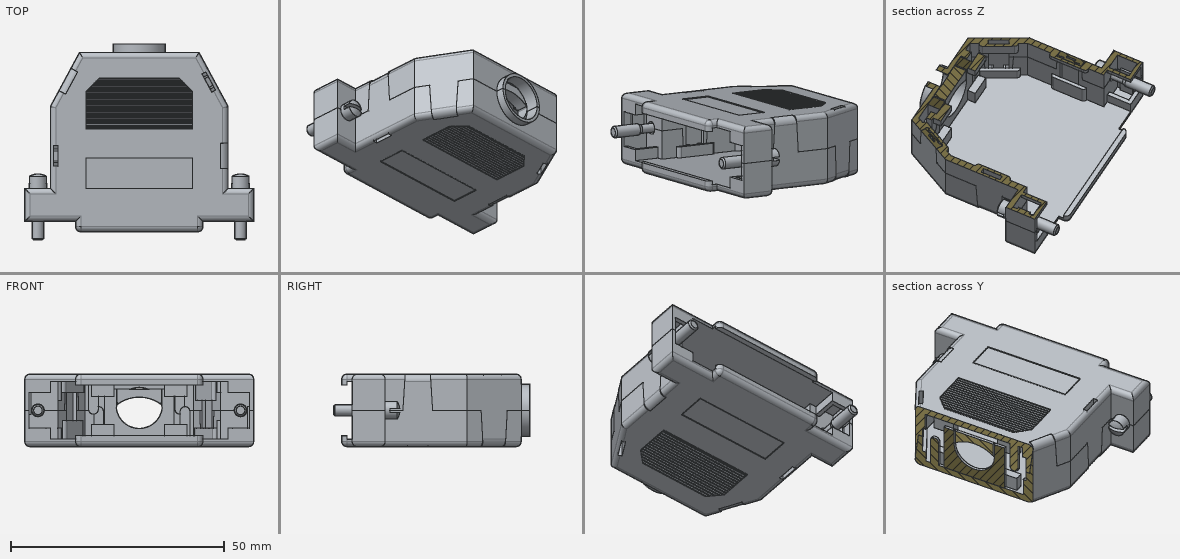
import cadquery as cq
import math


half_height = 8.51
wall = 1.78
floor_z = half_height - wall
edge_round = 1.27
flange_half_width = 53.59 / 2
flange_depth = 7.73
flange_back_wall = 1.52
flange_plate = 1.02
body_half_width = 20.8
shoulder_y = 26.9
rear_half_width = 13.98
rear_y = 39.56
rear_wall = 1.27
rear_inner_y = rear_y - rear_wall
rear_inner_half_width = 12.65
side_inner_x = body_half_width - wall

slant_dx = body_half_width - rear_half_width
slant_dy = rear_y - shoulder_y
slant_angle = math.degrees(math.atan2(slant_dx, slant_dy))

nose_half_width = 14.9
nose_length = 2.46
nose_corner_radius = 1.3
lip_thickness = 1.27
lip_z = 5.89

opening_half_width = 20.74
flange_inner_half_width = 25.8
flange_opening_z = 4.13
flange_inner_y = flange_depth - flange_back_wall
end_rib_thickness = 0.5
end_rib_front_y = 2.0
end_rib_rear_y = 5.2
end_rib_reach = 0.95

bore_radius = 5.36
outlet_radius = 6.12
outlet_end_y = 41.57

straight_latch_y = 15.35
slant_latch_x = (body_half_width + rear_half_width) / 2
slant_latch_y = (shoulder_y + rear_y) / 2
tongue_root_half = 3.475
tongue_tip_half = 2.95
channel_depth = 1.0
channel_half_length = 2.42
channel_bottom_z = -4.13
channel_ramp_drop = 1.2
channel_center_half = 1.15
channel_ramp_start = 1.6
pad_thickness = 0.86
pad_round = 0.84
hook_pad_z = 2.37
hook_pad_half_length = 4.6
backing_pad_z = 4.13
backing_pad_half_length = 5.1

panel_half_width = 12.42
panel_depth = 0.25
label_front_y = 7.73
label_rear_y = 14.8
rib_count = 16
rib_pitch = 0.762
rib_base = 0.53
grip_front_y = 21.6
grip_rear_y = grip_front_y + (rib_count - 1) * rib_pitch + rib_base
grip_rear_half_width = 9.33
grip_shoulder_y = 30.43

clamp_thickness = 3.0
clamp_front_y = rear_inner_y - clamp_thickness
clamp_top_z = 5.0
saddle_half_width = 8.17
saddle_arc_z = 1.15
slug_half_width = 5.15
slug_corner_z = 1.35
slug_crown_z = 3.07
post_inner_x = 5.89
post_outer_x = 11.16
post_z = 3.25
post_thickness = 2.0
guide_width = 2.28
guide_inner_x = 8.35
guide_outer_x = 9.58
guide_tip_z = -0.88
guide_thickness = clamp_thickness / 2

screw_x = 23.7
screw_tip_y = -4.33
screw_chamfer = 0.37
thread_radius = 1.37
thread_end_y = 3.2
thread_runout = 0.8
neck_radius = 1.05
screw_hole_radius = 1.49
head_radius = 2.07
head_rim_y = 10.54
head_crown_y = 11.17
screw_slot_width = 0.88
screw_slot_bottom_y = 8.85


def block(x0, x1, y0, y1, z0, z1):
    """Box given by its limits along each axis."""
    return cq.Workplane("XY").box(x1 - x0, y1 - y0, z1 - z0, centered=False).translate((x0, y0, z0))


def mirrored_block(x0, x1, y0, y1, z0, z1):
    """Two boxes, one on each side of X = 0."""
    box = block(x0, x1, y0, y1, z0, z1)
    return box.union(box.mirror("YZ"))


def half_turn(shape):
    return shape.rotate((0, 0, 0), (0, 1, 0), 180)


def half_cylinder(radius, y0, y1):
    """Upper half of a cylinder along Y on the parting plane."""
    rod = cq.Workplane("XZ", origin=(0, y0, 0)).circle(radius).extrude(y0 - y1)
    return rod.intersect(block(-radius, radius, y0, y1, 0, radius))


def at_left_wall(shape):
    return shape.rotate((0, 0, 0), (0, 0, 1), 180).translate((-body_half_width, straight_latch_y, 0))


def at_right_wall(shape):
    return shape.translate((body_half_width, straight_latch_y, 0))


def at_left_slant(shape):
    turned = shape.rotate((0, 0, 0), (0, 0, 1), 180 - slant_angle)
    return turned.translate((-slant_latch_x, slant_latch_y, 0))


def at_right_slant(shape):
    return shape.rotate((0, 0, 0), (0, 0, 1), slant_angle).translate((slant_latch_x, slant_latch_y, 0))


def tapered_plate(tip_z):
    """Full-wall trapezoid from the parting plane to tip_z."""
    return (
        cq.Workplane("YZ", origin=(-wall, 0, 0))
        .polyline([
            (-tongue_root_half, 0),
            (tongue_root_half, 0),
            (tongue_tip_half, tip_z),
            (-tongue_tip_half, tip_z),
        ])
        .close()
        .extrude(wall)
    )


def latch_notch():
    return tapered_plate(half_height)


def latch_tongue():
    """Tongue reaching down to the far face, its tip a quarter round."""
    mid = wall * math.sqrt(0.5)
    profile = (
        cq.Workplane("XZ", origin=(0, tongue_root_half, 0))
        .moveTo(-wall, 0)
        .lineTo(0, 0)
        .lineTo(0, -floor_z)
        .threePointArc((mid - wall, -floor_z - mid), (-wall, -half_height))
        .close()
        .extrude(2 * tongue_root_half)
    )
    return tapered_plate(-half_height).intersect(profile)


def channel_section(y0, y1, outer_bottom_z, inner_bottom_z):
    """Stretch of the latch channel whose bottom slopes across the wall."""
    outer_x = channel_depth - wall
    return (
        cq.Workplane("XZ", origin=(0, y1, 0))
        .polyline([
            (-wall, half_height),
            (outer_x, half_height),
            (outer_x, outer_bottom_z),
            (-wall, inner_bottom_z),
        ])
        .close()
        .extrude(y1 - y0)
    )


def latch_channel():
    """Channel in the inner face of the wall, open through the top face.

    Its bottom slopes outward in the middle and inward near both ends.
    """
    high = channel_bottom_z
    low = channel_bottom_z - channel_ramp_drop
    channel = channel_section(-channel_ramp_start, channel_ramp_start, high, high)
    channel = channel.union(channel_section(-channel_center_half, channel_center_half, low, high))
    for y0, y1 in (
        (-channel_half_length, -channel_ramp_start),
        (channel_ramp_start, channel_half_length),
    ):
        channel = channel.union(channel_section(y0, y1, high, low))
    return channel


def latch_pad(half_length, bottom_z):
    """Thickening on the inside of the wall, from bottom_z up to the floor."""
    pad = block(-wall - pad_thickness, -wall, -half_length, half_length, bottom_z, floor_z)
    return pad.edges("|Z and <X").fillet(pad_round)


def shell_outside():
    right = [
        (nose_half_width, -nose_length),
        (nose_half_width, 0),
        (flange_half_width, 0),
        (flange_half_width, flange_depth),
        (body_half_width, flange_depth),
        (body_half_width, shoulder_y),
        (rear_half_width, rear_y),
    ]
    left = [(-x, y) for x, y in reversed(right)]
    body = cq.Workplane("XY").polyline(right + left).close().extrude(half_height)
    body = body.edges("|Z and <Y").fillet(nose_corner_radius)
    body = body.faces(">Z").edges().fillet(edge_round)
    return body.union(half_cylinder(outlet_radius, rear_inner_y, outlet_end_y))


def shell_cavity():
    right = [
        (side_inner_x, flange_inner_y),
        (side_inner_x, shoulder_y - wall * math.tan(math.radians(slant_angle / 2))),
        (rear_inner_half_width, rear_inner_y),
    ]
    left = [(-x, y) for x, y in reversed(right)]
    cavity = cq.Workplane("XY").polyline(right + left).close().extrude(floor_z)
    cavity = cavity.union(
        block(
            -opening_half_width, opening_half_width,
            lip_thickness - nose_length, flange_inner_y,
            0, floor_z,
        )
    )
    cavity = cavity.union(
        block(
            -flange_inner_half_width, flange_inner_half_width,
            0, flange_inner_y,
            0, flange_opening_z,
        )
    )
    cavity = cavity.union(
        mirrored_block(
            opening_half_width + flange_plate, flange_inner_half_width,
            flange_plate, flange_inner_y,
            0, floor_z,
        )
    )
    under_lip = block(-nose_half_width, nose_half_width, -nose_length, 0, 0, lip_z)
    bore = half_cylinder(bore_radius, rear_inner_y, outlet_end_y)
    return cavity.union(under_lip).union(bore)


def label_recess():
    return block(
        -panel_half_width, panel_half_width,
        label_front_y, label_rear_y,
        half_height - panel_depth, half_height,
    )


def grip_recess():
    """Recess whose floor carries triangular ribs up to the top face."""
    recess = (
        cq.Workplane("XY", origin=(0, 0, half_height - panel_depth))
        .polyline([
            (-panel_half_width, grip_front_y),
            (panel_half_width, grip_front_y),
            (panel_half_width, grip_shoulder_y),
            (grip_rear_half_width, grip_rear_y),
            (-grip_rear_half_width, grip_rear_y),
            (-panel_half_width, grip_shoulder_y),
        ])
        .close()
        .extrude(panel_depth)
    )
    for index in range(rib_count):
        rib_y = grip_front_y + index * rib_pitch
        rib = (
            cq.Workplane("YZ", origin=(-panel_half_width, 0, 0))
            .polyline([
                (rib_y, half_height - panel_depth),
                (rib_y + rib_base, half_height - panel_depth),
                (rib_y + rib_base / 2, half_height),
            ])
            .close()
            .extrude(2 * panel_half_width)
        )
        recess = recess.cut(rib)
    return recess


def clamp_posts():
    return mirrored_block(
        post_inner_x, post_outer_x, clamp_front_y - post_thickness, clamp_front_y, post_z, floor_z
    )


def clamp_guide(inner_x, front_y):
    """Round-ended finger beside the clamp, on the +X side, reaching past the parting plane."""
    radius = guide_width / 2
    center_x = inner_x + radius
    return (
        cq.Workplane("XZ", origin=(0, front_y, 0))
        .moveTo(inner_x, floor_z)
        .lineTo(inner_x, guide_tip_z + radius)
        .threePointArc((center_x, guide_tip_z), (inner_x + guide_width, guide_tip_z + radius))
        .lineTo(inner_x + guide_width, floor_z)
        .close()
        .extrude(-guide_thickness)
    )


def end_rib():
    """Locating rib inside the left end wall of the flange."""
    return block(
        -flange_inner_half_width, end_rib_thickness - flange_inner_half_width,
        end_rib_front_y, end_rib_rear_y,
        -end_rib_reach, floor_z,
    )


def screw_hole(side):
    return half_cylinder(screw_hole_radius, flange_inner_y, flange_depth).translate((side * screw_x, 0, 0))


def make_shell():
    """Upper shell."""
    shell = shell_outside().cut(shell_cavity())
    for side in (-1, 1):
        shell = shell.cut(screw_hole(side))
    shell = shell.cut(label_recess()).cut(grip_recess())
    for place in (at_left_slant, at_right_wall):
        shell = shell.cut(place(latch_notch()))
        shell = shell.union(place(latch_pad(backing_pad_half_length, backing_pad_z)))
    for place in (at_left_wall, at_right_slant):
        shell = shell.union(place(latch_tongue()))
        shell = shell.union(place(latch_pad(hook_pad_half_length, hook_pad_z)))
        shell = shell.cut(place(latch_channel()))
    shell = shell.union(clamp_posts())
    shell = shell.union(clamp_guide(guide_outer_x, clamp_front_y).mirror("YZ"))
    shell = shell.union(clamp_guide(guide_inner_x, clamp_front_y + guide_thickness))
    return shell.union(end_rib())


def make_saddle():
    """U-shaped block standing on the lower floor."""
    return (
        cq.Workplane("XZ", origin=(0, clamp_front_y, 0))
        .moveTo(-saddle_half_width, -floor_z)
        .lineTo(saddle_half_width, -floor_z)
        .lineTo(saddle_half_width, clamp_top_z)
        .lineTo(bore_radius, clamp_top_z)
        .lineTo(bore_radius, saddle_arc_z)
        .threePointArc((0, saddle_arc_z - bore_radius), (-bore_radius, saddle_arc_z))
        .lineTo(-bore_radius, clamp_top_z)
        .lineTo(-saddle_half_width, clamp_top_z)
        .close()
        .extrude(-clamp_thickness)
    )


def make_slug():
    """Block sliding in the saddle, hollowed below to press on the cable."""
    return (
        cq.Workplane("XZ", origin=(0, clamp_front_y, 0))
        .moveTo(-slug_half_width, clamp_top_z)
        .lineTo(slug_half_width, clamp_top_z)
        .lineTo(slug_half_width, slug_corner_z)
        .threePointArc((0, slug_crown_z), (-slug_half_width, slug_corner_z))
        .close()
        .extrude(-clamp_thickness)
    )


def make_screw(side):
    """Slotted, dome-headed screw with a thin neck behind its thread."""
    dome_height = head_crown_y - head_rim_y
    dome_radius = (head_radius**2 + dome_height**2) / (2 * dome_height)
    dome_mid_x = head_radius / 2
    dome_mid_y = head_crown_y - dome_radius + math.sqrt(dome_radius**2 - dome_mid_x**2)
    screw = (
        cq.Workplane("XY")
        .moveTo(0, screw_tip_y)
        .lineTo(thread_radius - screw_chamfer, screw_tip_y)
        .lineTo(thread_radius, screw_tip_y + screw_chamfer)
        .lineTo(thread_radius, thread_end_y - thread_runout)
        .lineTo(neck_radius, thread_end_y)
        .lineTo(neck_radius, flange_depth)
        .lineTo(head_radius, flange_depth)
        .lineTo(head_radius, head_rim_y)
        .threePointArc((dome_mid_x, dome_mid_y), (0, head_crown_y))
        .close()
        .revolve(360, (0, 0, 0), (0, 1, 0))
    )
    slot = block(
        -head_radius, head_radius,
        screw_slot_bottom_y, head_crown_y,
        -screw_slot_width / 2, screw_slot_width / 2,
    )
    return screw.cut(slot).translate((side * screw_x, 0, 0))


upper_shell = make_shell()
lower_shell = half_turn(upper_shell)
saddle = make_saddle()
slug = make_slug()
screws = [make_screw(side) for side in (-1, 1)]

result = cq.Compound.makeCompound([
    upper_shell.val(),
    lower_shell.val(),
    saddle.val(),
    slug.val(),
    *[screw.val() for screw in screws],
])